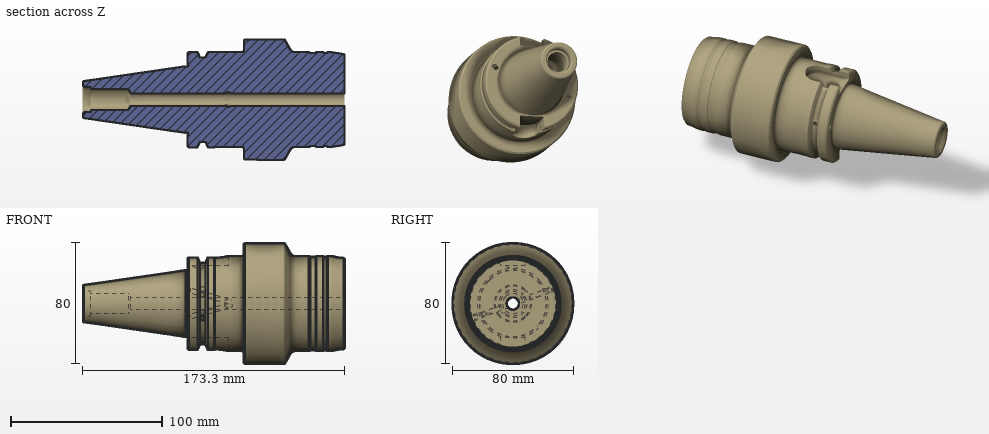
import cadquery as cq
import math

total_length = 173.25

gauge_diameter = 44.45
gauge_position = 68.25
taper_half_rate = 7 / 24 / 2
shank_end_chamfer = 0.7
neck_diameter = 43.8
taper_end = 68.0
neck_start = 68.4
face_relief_diameter = 46.7
face_relief_depth = 0.4

flange_start = 69.1
flange_end = 87.3
flange_diameter = 63.5
flange_chamfer = 1.0
flange_end_bevel = 0.5
groove_center = 79.2
groove_diameter = 56.4
groove_floor_width = 3.6
groove_flank_angle = 25

body_diameter = 63.0
collar_diameter = 80.0
collar_start = 106.25
collar_chamfer = 1.0
collar_root_fillet = 1.0
collar_end = 133.3
collar_back_angle = 60
collar_end_fillet = 1.5
collar_back_fillet = 3.0

nose_groove_diameter = 62.0
nose_grooves = [
    (149.3, 150.3, 153.9, 154.4),
    (158.7, 159.2, 161.0, 162.0),
]
nose_taper_start = 164.4
nose_end_diameter = 60.4
nose_end_chamfer = 1.0

slot_width = 16.3
slot_rim_chamfer = 0.4
slot_end_center = 88.1
upper_slot_floor = 25.0
lower_slot_floor = 22.6
dimple_diameter = 9.53
dimple_position = 77.0
dimple_tip_angle = 118

mouth_diameter = 18.5
counterbore_diameter = 16.3
counterbore_depth = 5.2
thread_diameter = 13.39
thread_depth = 30.0
drill_tip_angle = 118
coolant_diameter = 8.0

port_angle = 20
port_mouth_diameter = 4.0
port_bore_diameter = 3.24
port_radius = 26.8
port_mouth_depth = 1.1
port_tilt = 40
screw_hole_diameter = port_bore_diameter
screw_hole_bottom_radius = 16.0


def taper_radius(x):
    return gauge_diameter / 2 - (gauge_position - x) * taper_half_rate


def revolve_outline(outline):
    return cq.Workplane("XY").polyline(outline).close().revolve(axisStart=(0, 0, 0), axisEnd=(1, 0, 0))


def shank_and_flange_outline():
    flange_radius = flange_diameter / 2
    groove_radius = groove_diameter / 2
    flank_length = (flange_radius - groove_radius) * math.tan(math.radians(groove_flank_angle))
    half_floor = groove_floor_width / 2
    half_mouth = half_floor + flank_length
    return [
        (0, 0),
        (0, taper_radius(0) - shank_end_chamfer),
        (shank_end_chamfer, taper_radius(shank_end_chamfer)),
        (taper_end, taper_radius(taper_end)),
        (neck_start, neck_diameter / 2),
        (flange_start, neck_diameter / 2),
        (flange_start, flange_radius - flange_chamfer),
        (flange_start + flange_chamfer, flange_radius),
        (groove_center - half_mouth, flange_radius),
        (groove_center - half_floor, groove_radius),
        (groove_center + half_floor, groove_radius),
        (groove_center + half_mouth, flange_radius),
        (flange_end - flange_end_bevel, flange_radius),
        (flange_end, body_diameter / 2),
    ]


def collar_outline():
    body_radius = body_diameter / 2
    collar_radius = collar_diameter / 2
    back_length = (collar_radius - body_radius) / math.tan(math.radians(collar_back_angle))
    return [
        (collar_start, body_radius),
        (collar_start, collar_radius - collar_chamfer),
        (collar_start + collar_chamfer, collar_radius),
        (collar_end, collar_radius),
        (collar_end + back_length, body_radius),
    ]


def nose_outline():
    body_radius = body_diameter / 2
    groove_radius = nose_groove_diameter / 2
    end_radius = nose_end_diameter / 2
    outline = []
    for start, floor_start, floor_end, end in nose_grooves:
        outline += [
            (start, body_radius),
            (floor_start, groove_radius),
            (floor_end, groove_radius),
            (end, body_radius),
        ]
    outline += [
        (nose_taper_start, body_radius),
        (total_length - nose_end_chamfer, end_radius),
        (total_length, end_radius - nose_end_chamfer),
        (total_length, 0),
    ]
    return outline


def fillet_circle(solid, x, diameter, fillet_radius):
    """Round the circular edge of the given diameter at position x."""
    def mismatch(edge):
        return abs(edge.arcCenter().x - x) + abs(edge.radius() - diameter / 2)

    circle = min(solid.edges("%CIRCLE").vals(), key=mismatch)
    return solid.newObject([circle]).fillet(fillet_radius)


def turned_body():
    collar = collar_outline()
    back_root = collar[-1][0]
    body = revolve_outline(shank_and_flange_outline() + collar + nose_outline())
    body = fillet_circle(body, collar_start, body_diameter, collar_root_fillet)
    body = fillet_circle(body, collar_end, collar_diameter, collar_end_fillet)
    return fillet_circle(body, back_root, body_diameter, collar_back_fillet)


def face_relief():
    """Round-bottomed ring relief in the flange face, next to the neck."""
    inner = neck_diameter / 2
    outer = face_relief_diameter / 2
    profile = (
        cq.Workplane("XY")
        .moveTo(flange_start, inner)
        .threePointArc((flange_start + face_relief_depth, (inner + outer) / 2), (flange_start, outer))
        .close()
    )
    return profile.revolve(axisStart=(0, 0, 0), axisEnd=(1, 0, 0))


def drive_slot(floor_height, side):
    """Slot open towards the shank; side is +1 above the axis and -1 below it."""
    depth = collar_diameter / 2 - floor_height
    straight_length = slot_end_center - flange_start
    floor = cq.Workplane("XY", origin=(flange_start, 0, side * floor_height))
    straight = floor.rect(2 * straight_length, slot_width).extrude(side * depth)
    round_end = floor.center(straight_length, 0).circle(slot_width / 2).extrude(side * depth)
    return straight.union(round_end)


def slot_rim_bevel(side_y, side_z):
    """Diamond bar along one straight slot edge at the flange rim; it bevels that edge."""
    y = slot_width / 2
    z = math.sqrt((flange_diameter / 2) ** 2 - y**2)
    leg = slot_rim_chamfer
    start = cq.Workplane("YZ", origin=(flange_start, side_y * y, side_z * z))
    diamond = start.polyline([(leg, 0), (0, leg), (-leg, 0), (0, -leg)]).close()
    return diamond.extrude(flange_end - flange_start)


def slot_dimple():
    """Conical dimple in the floor of the upper slot."""
    radius = dimple_diameter / 2
    depth = radius / math.tan(math.radians(dimple_tip_angle / 2))
    cone = cq.Solid.makeCone(
        radius, 0, depth, cq.Vector(dimple_position, 0, upper_slot_floor), cq.Vector(0, 0, -1)
    )
    return cq.Workplane(obj=cone)


def central_bore():
    mouth_radius = mouth_diameter / 2
    counterbore_radius = counterbore_diameter / 2
    thread_radius = thread_diameter / 2
    coolant_radius = coolant_diameter / 2
    tip_length = (thread_radius - coolant_radius) / math.tan(math.radians(drill_tip_angle / 2))
    return revolve_outline([
        (0, 0),
        (0, mouth_radius),
        (mouth_radius - counterbore_radius, counterbore_radius),
        (counterbore_depth, counterbore_radius),
        (counterbore_depth, thread_radius),
        (thread_depth, thread_radius),
        (thread_depth + tip_length, coolant_radius),
        (total_length, coolant_radius),
        (total_length, 0),
    ])


def coolant_port(angle):
    """Tilted port from the flange face to the bore, met by a radial screw hole in the V-groove."""
    tilt = math.radians(port_tilt)
    run = port_radius / math.sin(tilt)
    lead = port_mouth_diameter
    direction = cq.Vector(math.cos(tilt), -math.sin(tilt), 0)
    mouth = cq.Vector(flange_start, port_radius, 0)
    wide_mouth = cq.Solid.makeCylinder(
        port_mouth_diameter / 2, port_mouth_depth + lead, mouth - direction * lead, direction
    )
    port = cq.Solid.makeCylinder(port_bore_diameter / 2, run, mouth, direction)
    screw_hole = cq.Solid.makeCylinder(
        screw_hole_diameter / 2,
        flange_diameter / 2 - screw_hole_bottom_radius,
        cq.Vector(groove_center, screw_hole_bottom_radius, 0),
        cq.Vector(0, 1, 0),
    )
    passages = cq.Workplane(obj=wide_mouth).union(cq.Workplane(obj=port))
    passages = passages.union(cq.Workplane(obj=screw_hole))
    return passages.rotate((0, 0, 0), (1, 0, 0), angle)


result = turned_body()
result = result.cut(drive_slot(upper_slot_floor, 1)).cut(drive_slot(lower_slot_floor, -1))
for side_y in (-1, 1):
    for side_z in (-1, 1):
        result = result.cut(slot_rim_bevel(side_y, side_z))
result = result.cut(face_relief())
result = result.cut(slot_dimple()).cut(central_bore())
for half_turn in (0, 180):
    result = result.cut(coolant_port(port_angle + half_turn))